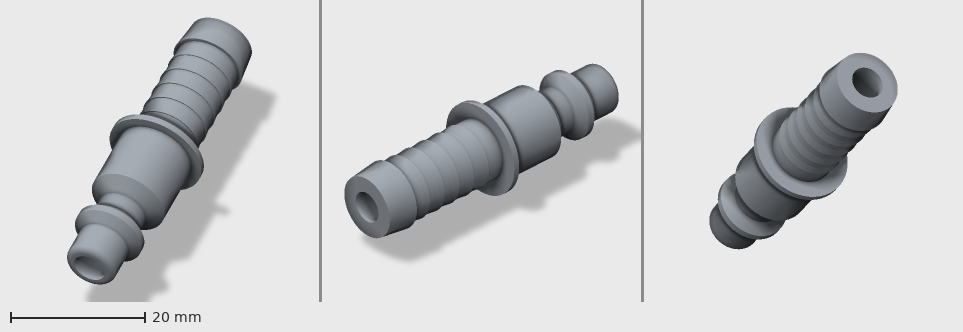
import cadquery as cq

total_length = 48.0
collar_start = 5.4
collar_rim_start = 6.8
collar_rim_end = 7.95
collar_end = 9.45
neck_end = 12.05
body_start = 14.0
flange_start = 24.0
flange_thickness = 1.0
flange_end = flange_start + flange_thickness

bore_radius = 2.5
nose_radius = 4.0
nose_rounding = 0.95
collar_radius = 5.4
neck_radius = 3.85
body_radius = 5.9
flange_radius = 7.5
stem_radius = 5.0

end_barb_length = 5.0
end_barb_radius = 5.55
small_barb_count = 5
small_barb_length = 1.5
small_barb_pitch = 3.0
small_barb_radius = 5.2
first_small_barb_end = total_length - end_barb_length - small_barb_length


def barb(end, length, large_radius):
    """Cone narrowing toward the hose end down to the stem radius."""
    start = end - length
    profile = [(0, start), (large_radius, start), (stem_radius, end), (0, end)]
    return cq.Workplane("XY").polyline(profile).close().revolve(360, (0, 0), (0, 1))


def plug_and_stem():
    """Turned body from the rounded nose to the plain hose stem."""
    return (
        cq.Workplane("XY")
        .moveTo(0, 0)
        .lineTo(nose_radius - nose_rounding, 0)
        .radiusArc((nose_radius, nose_rounding), -nose_rounding)
        .lineTo(nose_radius, collar_start)
        .lineTo(collar_radius, collar_rim_start)
        .lineTo(collar_radius, collar_rim_end)
        .lineTo(neck_radius, collar_end)
        .lineTo(neck_radius, neck_end)
        .lineTo(body_radius, body_start)
        .lineTo(body_radius, flange_start)
        .lineTo(flange_radius, flange_start)
        .lineTo(flange_radius, flange_end)
        .lineTo(stem_radius, flange_end)
        .lineTo(stem_radius, total_length)
        .lineTo(0, total_length)
        .close()
        .revolve(360, (0, 0), (0, 1))
    )


fitting = plug_and_stem()
fitting = fitting.union(barb(total_length, end_barb_length, end_barb_radius))
for index in range(small_barb_count):
    barb_end = first_small_barb_end - index * small_barb_pitch
    fitting = fitting.union(barb(barb_end, small_barb_length, small_barb_radius))

bore = cq.Workplane("XZ").circle(bore_radius).extrude(-total_length)
result = fitting.cut(bore)